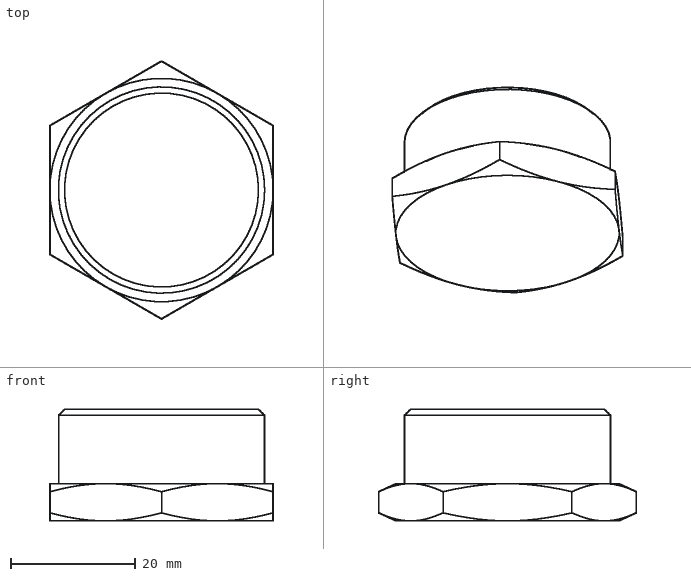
import cadquery as cq
import math

across_flats = 36.0
head_height = 6.0
plug_diameter = 33.25
total_height = 18.0
plug_chamfer = 1.0
head_chamfer_angle = 25.0

hexagon_sides = 6
quarter_turn = 90.0

across_corners = across_flats / math.cos(math.pi / hexagon_sides)
face_radius = across_flats / 2
corner_radius = across_corners / 2
corner_drop = (corner_radius - face_radius) * math.tan(math.radians(head_chamfer_angle))


def chamfer_envelope():
    """Revolved body whose conical ends trim the corners of the hexagon."""
    return (
        cq.Workplane("XZ")
        .moveTo(0, 0)
        .lineTo(face_radius, 0)
        .lineTo(corner_radius, corner_drop)
        .lineTo(corner_radius, head_height - corner_drop)
        .lineTo(face_radius, head_height)
        .lineTo(0, head_height)
        .close()
        .revolve(360, (0, 0, 0), (0, 1, 0))
    )


def hexagonal_head():
    """Hexagon with corners on the Y axis, chamfered at both ends."""
    hexagon = (
        cq.Workplane("XY")
        .transformed(rotate=(0, 0, quarter_turn))
        .polygon(hexagon_sides, across_corners)
        .extrude(head_height)
    )
    return hexagon.intersect(chamfer_envelope())


def plug():
    """Cylinder standing on the head, chamfered around its top edge."""
    return (
        cq.Workplane("XY")
        .workplane(offset=head_height)
        .circle(plug_diameter / 2)
        .extrude(total_height - head_height)
        .faces(">Z")
        .chamfer(plug_chamfer)
    )


result = hexagonal_head().union(plug())